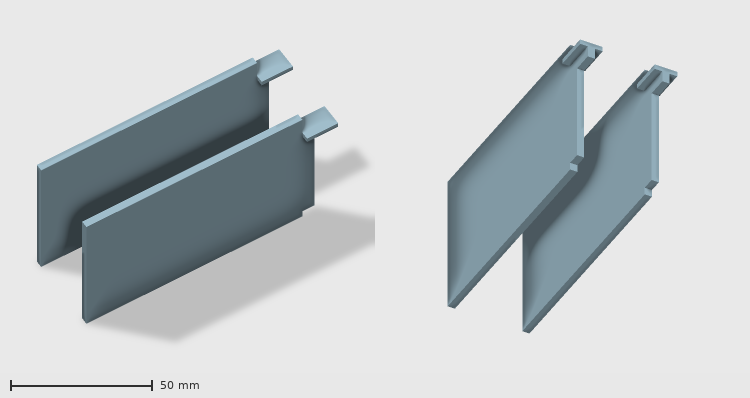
import cadquery as cq

plate_spacing = 30.0
plate_thickness = 2.9
plate_height = 55.5
total_length = 103.0

tab_length = 13.0
step_depth = 5.0
step_bottom = 3.0
tab_bottom = 41.6
cap_top = 48.0
cap_width = 9.1
cap_thickness = 2.0

main_length = total_length - tab_length


def make_plate(center_x):
    """One plate with its stepped rear end and tab cap, centred on center_x."""
    outline = [
        (0, 0),
        (main_length, 0),
        (main_length, step_bottom),
        (main_length + step_depth, step_bottom),
        (main_length + step_depth, tab_bottom),
        (total_length, tab_bottom),
        (total_length, cap_top),
        (main_length, cap_top),
        (main_length, plate_height),
        (0, plate_height),
    ]
    web = (
        cq.Workplane("YZ", origin=(center_x, 0, 0))
        .polyline(outline)
        .close()
        .extrude(plate_thickness / 2, both=True)
    )
    cap = cq.Workplane("XY").box(
        cap_width, tab_length, cap_thickness, centered=(True, False, False)
    ).translate((center_x, main_length, cap_top - cap_thickness))
    return web.union(cap)


plates = [make_plate(side * plate_spacing / 2) for side in (-1, 1)]

result = cq.Compound.makeCompound([plate.val() for plate in plates])